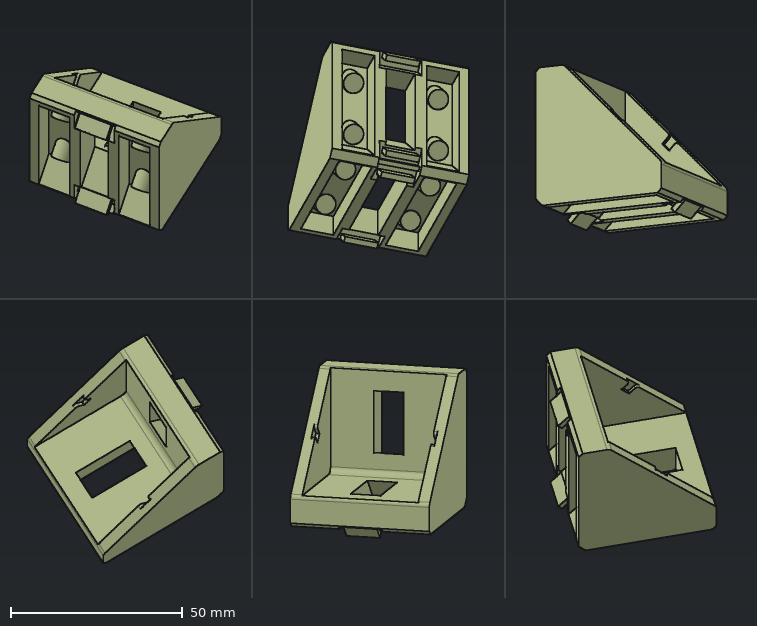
import cadquery as cq
import math

ROOT2 = math.sqrt(2)

body_width = 42
overall_side = 43.75
clip_reach = 2.5
side = overall_side - clip_reach
slope_land = 9.3
outer_round = 1.95
tip_chamfer = 1.23
corner_chamfer = 2.15
slope_along = (side + slope_land) / ROOT2
chamfer_across = (side - tip_chamfer) / ROOT2

cavity_width = 35
cavity_wall = 9.55
cavity_round = 1.95

pocket_width = 10.0
pocket_offset_x = 13.0
pocket_depth = 6.7
pocket_top = 38.25
pocket_web_half = 1.75

window_width = 9.0
window_top = 34.85
window_web_half = 4.85

pin_diameter = 6.0
pin_middle_across = 11.77
pin_pitch = 12.95
pin_end_depth = 4.38
pin_root_depth = 9.2

clip_width = 10.15
clip_thickness = 1.75
corner_clip_across = 4.1
tip_clip_across = 28.28
notch_width = 13.0
corner_notch_along = 5.78
corner_notch_across = 0.7
corner_flat_along = 3.75
tip_notch_along = 29.55
tip_notch_across = 24.25

groove_depth_x = 1.1
groove_half_width = 1.58
groove_depth = 3.5
groove_lip = 1.0


def diagonal(along, across):
    """Return the (Y, Z) point for a position along and across the diagonal plane."""
    return ((along - across) / ROOT2, (along + across) / ROOT2)


def prism(points, width, center_x=0):
    """Extrude a closed (Y, Z) outline along X, centred on center_x."""
    plane = cq.Workplane("YZ", origin=(center_x, 0, 0))
    return plane.polyline(points).close().extrude(width / 2, both=True)


def diagonal_block(along_range, across_range, width):
    """Make a block whose sides run along and across the diagonal plane."""
    near, far = along_range
    low, high = across_range
    corners = [(near, low), (far, low), (far, high), (near, high)]
    return prism([diagonal(*corner) for corner in corners], width)


def mirrored_pair(shape):
    """Join a shape with its reflection in the diagonal plane Y = Z."""
    reflected = shape.rotate((0, 0, 0), (0, 1, 1), 180).mirror("YZ")
    return shape.union(reflected)


def make_body():
    outline = [
        (corner_chamfer, 0),
        (side - tip_chamfer, 0),
        (side, tip_chamfer),
        (side, slope_land),
        (slope_land, side),
        (tip_chamfer, side),
        (0, side - tip_chamfer),
        (0, corner_chamfer),
    ]
    body = prism(outline, body_width)
    body = body.faces(">Z").edges(">Y").fillet(outer_round)
    return body.faces(">Y").edges(">Z").fillet(outer_round)


def make_cavity():
    outline = [(cavity_wall, cavity_wall), (side, cavity_wall), (side, side), (cavity_wall, side)]
    cavity = prism(outline, cavity_width)
    return cavity.faces("<Y").edges("<Z").fillet(cavity_round)


def make_recess(depth, top, web_half, width, center_x=0):
    """Make a cut into the Y = 0 face that ends on the diagonal web at its lower side."""
    web_height = web_half * ROOT2
    outline = [(0, web_height), (depth, depth + web_height), (depth, top), (0, top)]
    return prism(outline, width, center_x)


def make_pin(center_x, across):
    root_along = pin_root_depth * ROOT2 + across
    length = (pin_root_depth - pin_end_depth) * ROOT2
    root = cq.Vector(center_x, *diagonal(root_along, across))
    pin = cq.Solid.makeCylinder(pin_diameter / 2, length, root, cq.Vector(0, -1, -1))
    return cq.Workplane(obj=pin)


def make_clip(notch_along, across):
    """Make a clip from its notch wall to the point where its outer edge has the full reach."""
    end_along = across - clip_reach * ROOT2
    return diagonal_block((end_along, notch_along), (across - clip_thickness, across), clip_width)


def make_groove():
    """Make a groove into the slope, with rounded lips, that widens the cavity on both sides."""
    mouth = groove_half_width + groove_lip
    bend = groove_lip * (1 - math.sqrt(0.5))
    lip_along = slope_along - groove_lip
    floor_along = slope_along - groove_depth
    bend_along = slope_along - bend
    bend_across = groove_half_width + bend
    return (
        cq.Workplane("YZ")
        .moveTo(*diagonal(slope_along, -mouth))
        .threePointArc(diagonal(bend_along, -bend_across), diagonal(lip_along, -groove_half_width))
        .lineTo(*diagonal(floor_along, -groove_half_width))
        .lineTo(*diagonal(floor_along, groove_half_width))
        .lineTo(*diagonal(lip_along, groove_half_width))
        .threePointArc(diagonal(bend_along, bend_across), diagonal(slope_along, mouth))
        .close()
        .extrude(cavity_width / 2 + groove_depth_x, both=True)
    )


result = make_body()

result = result.cut(mirrored_pair(make_recess(cavity_wall, window_top, window_web_half, window_width)))
for pocket_x in (-pocket_offset_x, pocket_offset_x):
    pocket = make_recess(pocket_depth, pocket_top, pocket_web_half, pocket_width, pocket_x)
    result = result.cut(mirrored_pair(pocket))
    for pin_shift in (-pin_pitch / 2, pin_pitch / 2):
        result = result.union(mirrored_pair(make_pin(pocket_x, pin_middle_across + pin_shift)))
result = result.cut(make_cavity()).cut(make_groove())

tip_notch = diagonal_block(
    (tip_notch_across, tip_notch_along), (tip_notch_across, chamfer_across), notch_width
)
corner_notch = diagonal_block(
    (0, corner_notch_along), (corner_notch_across, corner_notch_along), notch_width
)
corner_flat = diagonal_block(
    (0, corner_flat_along), (-corner_notch_across, corner_notch_across), notch_width
)
result = result.cut(mirrored_pair(tip_notch)).cut(mirrored_pair(corner_notch)).cut(corner_flat)

for notch_along, clip_across in (
    (tip_notch_along, tip_clip_across),
    (corner_notch_along, corner_clip_across),
):
    result = result.union(mirrored_pair(make_clip(notch_along, clip_across)))